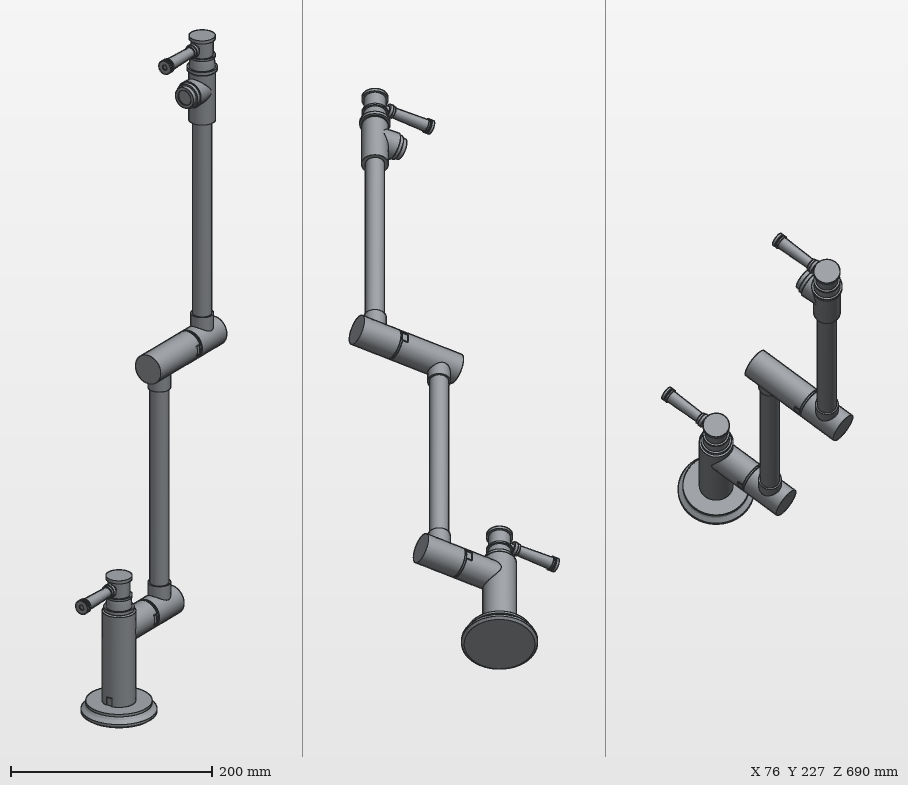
import cadquery as cq

OVERALL_HEIGHT = 690
LOWER_RISER_Y = 69
UPPER_RISER_Y = 142.0

BASE_RADIUS = 38.0
BASE_HEIGHT = 14
BASE_BOTTOM_RADIUS = 35.0
BASE_RIM_BOTTOM = 2.0
BASE_RIM_TOP = 5.0
BASE_SHOULDER_RADIUS = 34.0
BASE_SHOULDER_HEIGHT = 7.5
BASE_WAIST_RADIUS = 31.0
BASE_PLATE_RADIUS = 33.0
BASE_PLATE_THICKNESS = 3.0

COLUMN_RADIUS = 16.9
COLUMN_TOP = 112.5
COLUMN_NOTCH_WIDTH = 6.0
COLUMN_NOTCH_HEIGHT = 9.0
COLUMN_NOTCH_DEPTH = 1.05

GROOVE_WIDTH = 2.0
GROOVE_DEPTH = 1.05

HEAD_HEIGHT = 38.5
HEAD_FOOT_RADIUS = 12.75
HEAD_COLLAR_BOTTOM = 1.5
HEAD_COLLAR_TOP = 5.0
HEAD_COLLAR_RADIUS = 15.0
NECK_RADIUS = 13.0
NECK_MIDDLE_HEIGHT = 10.5
NECK_MIDDLE_RADIUS = 12.75
NECK_WAIST_RADIUS = 11.4
NECK_BAND_BOTTOM = 16.0
NECK_BAND_TOP = 18.0
CAP_RADIUS = 11.0
CAP_FLANGE_RADIUS = 13.0
CAP_FLANGE_THICKNESS = 3.5

LEVER_HEIGHT = 27.5
LEVER_LENGTH = 64.0
LEVER_NECK_RADIUS = 4.0
LEVER_COLLAR_START = 14.5
LEVER_COLLAR_STEP = 18.0
LEVER_COLLAR_END = 21
LEVER_COLLAR_RADIUS = 7
LEVER_COLLAR_STEP_RADIUS = 6.0
LEVER_ROOT_RADIUS = 5.2
LEVER_TIP_RADIUS = 6.0
KNOB_START = 58.0
KNOB_RADIUS = 7.25
KNOB_GROOVE_RADIUS = 6.0
KNOB_DIMPLE_RADIUS = 3.0
KNOB_DIMPLE_DEPTH = 1.5
KNOB_GROOVE_START = 60.0
KNOB_GROOVE_END = 61.5

ARM_RADIUS = 15.5
LOWER_ARM_Z = 90.5
UPPER_ARM_Z = 358.0
ARM_BACK_OVERHANG = 21
ARM_FRONT_OVERHANG = 19.0
GROOVE_TO_RISER = 21.5
ARM_NOTCH_LENGTH = 6.0
ARM_NOTCH_HEIGHT = 10.5
ARM_NOTCH_DEPTH = 2.0

RISER_RADIUS = 10.0
SOCKET_RADIUS = 11.4
SOCKET_REACH = 27.0

VALVE_RADIUS = 13.45
VALVE_BOTTOM = 597.0
OUTLET_Z = 632.5
OUTLET_ROOT_RADIUS = 13.0
OUTLET_LENGTH = 21.5
OUTLET_LIP_RADIUS = 14.15
OUTLET_RING_RADIUS = 12.75
OUTLET_RING_END = 25.5
NOZZLE_RADIUS = 11.0
NOZZLE_END = 30.5
NOZZLE_MOUTH_RADIUS = 7.9
NOZZLE_MOUTH_DEPTH = 1.5


def turned(profile):
    """Solid of revolution about Z from (radius, height) points given from bottom to top."""
    points = [(0, profile[0][1])] + profile + [(0, profile[-1][1])]
    return cq.Workplane("XZ").polyline(points).close().revolve(360, (0, 0, 0), (0, 1, 0))


def facing_forward(solid):
    """Turn a solid built up along +Z so that it points along -Y."""
    return solid.rotate((0, 0, 0), (1, 0, 0), 90)


def upright_cylinder(radius, y, bottom, top):
    return cq.Workplane("XY", origin=(0, y, bottom)).circle(radius).extrude(top - bottom)


def lengthwise_cylinder(radius, z, front, back):
    return cq.Workplane("XZ", origin=(0, back, z)).circle(radius).extrude(back - front)


def groove_ring(radius):
    """Ring that cuts the joint groove into a cylinder, rising from Z = 0."""
    return cq.Workplane("XY").circle(radius + GROOVE_DEPTH).circle(radius - GROOVE_DEPTH).extrude(GROOVE_WIDTH)


def base():
    """Round flange with a beveled rim, a sloping shoulder and an overhanging top plate."""
    plate_bottom = BASE_HEIGHT - BASE_PLATE_THICKNESS
    return turned([
        (BASE_BOTTOM_RADIUS, 0),
        (BASE_RADIUS, BASE_RIM_BOTTOM),
        (BASE_RADIUS, BASE_RIM_TOP),
        (BASE_SHOULDER_RADIUS, BASE_SHOULDER_HEIGHT),
        (BASE_WAIST_RADIUS, plate_bottom),
        (BASE_PLATE_RADIUS, plate_bottom),
        (BASE_PLATE_RADIUS, BASE_HEIGHT),
    ])


def column():
    """Column with a small notch in the front of its foot."""
    body = upright_cylinder(COLUMN_RADIUS, 0, BASE_HEIGHT, COLUMN_TOP)
    notch_center = BASE_HEIGHT + COLUMN_NOTCH_HEIGHT / 2
    notch = cq.Workplane("XY", origin=(0, -COLUMN_RADIUS, notch_center)).box(
        COLUMN_NOTCH_WIDTH, 2 * COLUMN_NOTCH_DEPTH, COLUMN_NOTCH_HEIGHT
    )
    return body.cut(notch)


def lever():
    """Lever along -Y: stepped collar, widening rod and a grooved knob with a dimpled end."""
    solid = turned([
        (LEVER_NECK_RADIUS, 0),
        (LEVER_NECK_RADIUS, LEVER_COLLAR_START),
        (LEVER_COLLAR_RADIUS, LEVER_COLLAR_START),
        (LEVER_COLLAR_RADIUS, LEVER_COLLAR_STEP),
        (LEVER_COLLAR_STEP_RADIUS, LEVER_COLLAR_STEP),
        (LEVER_COLLAR_STEP_RADIUS, LEVER_COLLAR_END),
        (LEVER_ROOT_RADIUS, LEVER_COLLAR_END),
        (LEVER_TIP_RADIUS, KNOB_START),
        (KNOB_RADIUS, KNOB_START),
        (KNOB_RADIUS, KNOB_GROOVE_START),
        (KNOB_GROOVE_RADIUS, KNOB_GROOVE_START),
        (KNOB_GROOVE_RADIUS, KNOB_GROOVE_END),
        (KNOB_RADIUS, KNOB_GROOVE_END),
        (KNOB_RADIUS, LEVER_LENGTH),
    ])
    dimple = upright_cylinder(KNOB_DIMPLE_RADIUS, 0, LEVER_LENGTH - KNOB_DIMPLE_DEPTH, LEVER_LENGTH)
    return facing_forward(solid.cut(dimple)).translate((0, 0, LEVER_HEIGHT))


def head(y, foot):
    """Collar, bulging neck and flanged cap with its lever."""
    flange_bottom = HEAD_HEIGHT - CAP_FLANGE_THICKNESS
    stack = turned([
        (HEAD_FOOT_RADIUS, 0),
        (HEAD_FOOT_RADIUS, HEAD_COLLAR_BOTTOM),
        (HEAD_COLLAR_RADIUS, HEAD_COLLAR_BOTTOM),
        (HEAD_COLLAR_RADIUS, HEAD_COLLAR_TOP),
        (NECK_WAIST_RADIUS, HEAD_COLLAR_TOP),
        (NECK_WAIST_RADIUS, NECK_BAND_BOTTOM),
        (NECK_RADIUS, NECK_BAND_BOTTOM),
        (NECK_RADIUS, NECK_BAND_TOP),
        (CAP_RADIUS, NECK_BAND_TOP),
        (CAP_RADIUS, flange_bottom),
        (CAP_FLANGE_RADIUS, flange_bottom),
        (CAP_FLANGE_RADIUS, HEAD_HEIGHT),
    ])
    bulge = (
        cq.Workplane("XZ")
        .moveTo(0, HEAD_COLLAR_TOP)
        .lineTo(NECK_RADIUS, HEAD_COLLAR_TOP)
        .threePointArc((NECK_MIDDLE_RADIUS, NECK_MIDDLE_HEIGHT), (NECK_WAIST_RADIUS, NECK_BAND_BOTTOM))
        .lineTo(0, NECK_BAND_BOTTOM)
        .close()
        .revolve(360, (0, 0, 0), (0, 1, 0))
    )
    return stack.union(bulge).union(lever()).translate((0, y, foot))


def arm(z, front, back, groove_y):
    """Arm along Y with a joint groove and a notch in front of the groove on both flanks."""
    body = lengthwise_cylinder(ARM_RADIUS, z, front, back)
    body = body.cut(facing_forward(groove_ring(ARM_RADIUS)).translate((0, groove_y, z)))
    notch_y = groove_y - GROOVE_WIDTH - ARM_NOTCH_LENGTH / 2
    for side in (-1, 1):
        body = body.cut(
            cq.Workplane("XY", origin=(side * ARM_RADIUS, notch_y, z)).box(
                2 * ARM_NOTCH_DEPTH, ARM_NOTCH_LENGTH, ARM_NOTCH_HEIGHT
            )
        )
    return body


def outlet():
    """Flared spout ending in a stepped nozzle with a shallow round mouth."""
    spout = turned([
        (OUTLET_ROOT_RADIUS, 0),
        (OUTLET_LIP_RADIUS, OUTLET_LENGTH),
        (OUTLET_RING_RADIUS, OUTLET_LENGTH),
        (OUTLET_RING_RADIUS, OUTLET_RING_END),
        (NOZZLE_RADIUS, OUTLET_RING_END),
        (NOZZLE_RADIUS, NOZZLE_END),
    ])
    mouth = upright_cylinder(NOZZLE_MOUTH_RADIUS, 0, NOZZLE_END - NOZZLE_MOUTH_DEPTH, NOZZLE_END)
    return facing_forward(spout.cut(mouth)).translate((0, UPPER_RISER_Y, OUTLET_Z))


valve_top = OVERALL_HEIGHT - HEAD_HEIGHT
lower_arm = arm(LOWER_ARM_Z, 0, LOWER_RISER_Y + ARM_BACK_OVERHANG, LOWER_RISER_Y - GROOVE_TO_RISER)
upper_arm = arm(
    UPPER_ARM_Z,
    LOWER_RISER_Y - ARM_FRONT_OVERHANG,
    UPPER_RISER_Y + ARM_BACK_OVERHANG,
    UPPER_RISER_Y - GROOVE_TO_RISER,
)

parts = [
    column(),
    head(0, COLUMN_TOP),
    lower_arm,
    upright_cylinder(SOCKET_RADIUS, LOWER_RISER_Y, LOWER_ARM_Z, LOWER_ARM_Z + SOCKET_REACH),
    upright_cylinder(RISER_RADIUS, LOWER_RISER_Y, LOWER_ARM_Z, UPPER_ARM_Z),
    upright_cylinder(SOCKET_RADIUS, LOWER_RISER_Y, UPPER_ARM_Z - SOCKET_REACH, UPPER_ARM_Z),
    upper_arm,
    upright_cylinder(SOCKET_RADIUS, UPPER_RISER_Y, UPPER_ARM_Z, UPPER_ARM_Z + SOCKET_REACH),
    upright_cylinder(RISER_RADIUS, UPPER_RISER_Y, UPPER_ARM_Z, VALVE_BOTTOM),
    upright_cylinder(VALVE_RADIUS, UPPER_RISER_Y, VALVE_BOTTOM, valve_top),
    outlet(),
    head(UPPER_RISER_Y, valve_top),
]

result = base()
for part in parts:
    result = result.union(part)